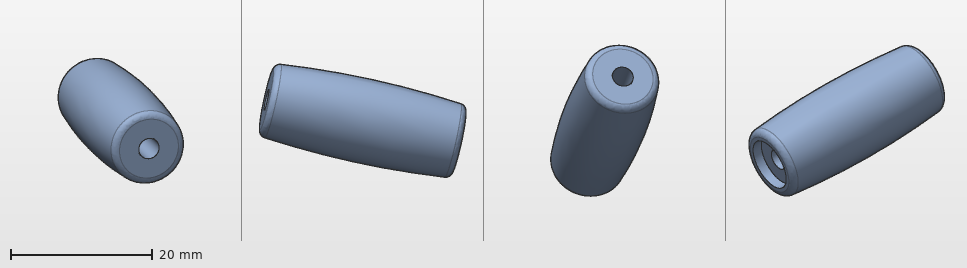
import cadquery as cq

length = 28.0
middle_diameter = 12.0
end_diameter = 10.5
edge_radius = 1.0
bore_diameter = 3.0
counterbore_diameter = 7.5
counterbore_depth = 1.5

half_length = length / 2


def barrel():
    """Solid of revolution about X with a bulging side and rounded end edges."""
    profile = (
        cq.Workplane("XY")
        .moveTo(-half_length, 0)
        .lineTo(-half_length, end_diameter / 2)
        .threePointArc((0, middle_diameter / 2), (half_length, end_diameter / 2))
        .lineTo(half_length, 0)
        .close()
    )
    body = profile.revolve(360, (0, 0, 0), (1, 0, 0))
    return body.faces("<X or >X").edges().fillet(edge_radius)


def cylinder_from_left_end(diameter, depth):
    """Cutter on the X axis that starts at the -X end face."""
    return cq.Workplane("YZ", origin=(-half_length, 0, 0)).circle(diameter / 2).extrude(depth)


bore = cylinder_from_left_end(bore_diameter, length)
counterbore = cylinder_from_left_end(counterbore_diameter, counterbore_depth)

result = barrel().cut(bore).cut(counterbore)